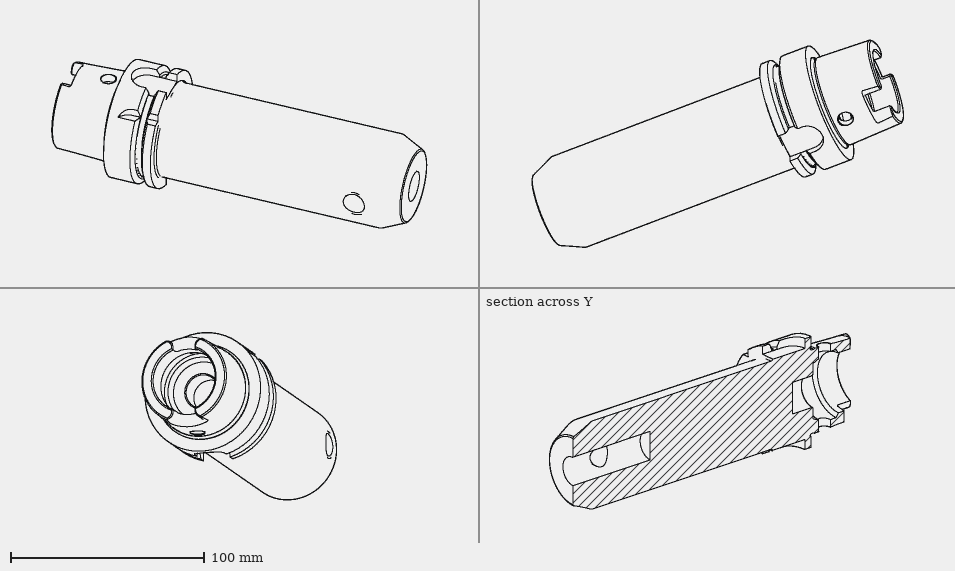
import cadquery as cq
import math

total_length = 192.0

shank_length = 32.0
shank_front_radius = 23.0
shank_back_radius = 24.2
shank_edge_chamfer = 0.8
neck_start = 29.5
neck_radius = 23.8
neck_slope_length = 1.0
neck_root_radius = 1.3
face_groove_depth = 0.5
face_groove_radius = neck_radius + neck_root_radius

flange_radius = 31.5
flange_width = 26.0
flange_end = shank_length + flange_width
grip_groove_center = shank_length + 18.0
grip_groove_floor_radius = 27.3
grip_groove_half_floor = 1.7
grip_groove_half_mouth = 3.5
grip_flank_angle = 60.0
grip_floor_fillet = 0.5
grip_groove_overshoot = 2.0

body_radius = 25.2
body_root_fillet = 1.0
nose_length = 12.7
nose_end_radius = 19.4
nose_shoulder_fillet = 2.0
nose_edge_chamfer = 0.5

mouth_radius = 16.9
mouth_length = 13.8
chamber_radius = 19.2
chamber_slope_length = 1.5
chamber_end = 26.9
seat_outer_radius = 17.3
seat_inner_radius = 15.5
seat_end = 30.7
coolant_radius = 8.8
coolant_depth = 13.5
coolant_chamfer = 0.5

drive_slot_half_width = 6.0
drive_slot_flare_radius = 3.8
drive_slot_flare_start = 17.0
drive_slot_inner = 11.5
drive_slot_outer = 28.8
drive_slot_flat_half_width = 15.4
drive_slot_floor_fillet = 1.0
drive_slot_edge_chamfer = 0.5
top_drive_slot_depth = 5.8
bottom_drive_slot_depth = 9.8

access_hole_diameter = 7.7
access_hole_x = 23.0
access_hole_chamfer = 0.4

cutter_diameter = 16.0
keyway_start = 36.3
keyway_floor = 26.0
notch_floor = 20.4
notch_wall = 20.0

tool_bore_diameter = 16.0
tool_bore_depth = 51.8
screw_hole_x = 168.0
screw_hole_diameter = 11.7
screw_chamfer_width = 1.3
screw_chamfer_depth = 0.4

selection_margin = 0.2


def cylinder_along_x(radius, start, length):
    return cq.Workplane("YZ", origin=(start, 0, 0)).circle(radius).extrude(length)


def revolve_about_x(points):
    return cq.Workplane("XY").polyline(points).close().revolve(360, (0, 0, 0), (1, 0, 0))


def box_around_axis(center_x, half_length, radius):
    """Selector for edges lying wholly inside a box centred on the X axis."""
    half_x = half_length + selection_margin
    reach = radius + selection_margin
    return cq.selectors.BoxSelector(
        (center_x - half_x, -reach, -reach),
        (center_x + half_x, reach, reach),
        boundingbox=True,
    )


def shank_blank():
    """Tapered plug whose neck runs out in a quarter round sunk into the flange face."""
    groove_floor = shank_length + face_groove_depth
    root_start = groove_floor - neck_root_radius
    return (
        cq.Workplane("XY")
        .moveTo(0, 0)
        .lineTo(0, shank_front_radius - shank_edge_chamfer)
        .lineTo(shank_edge_chamfer, shank_front_radius)
        .lineTo(neck_start, shank_back_radius)
        .lineTo(neck_start + neck_slope_length, neck_radius)
        .lineTo(root_start, neck_radius)
        .tangentArcPoint((groove_floor, face_groove_radius), relative=False)
        .lineTo(groove_floor, 0)
        .close()
        .revolve(360, (0, 0, 0), (1, 0, 0))
    )


def flange_blank():
    face_groove = cylinder_along_x(face_groove_radius, shank_length, face_groove_depth)
    flange = cylinder_along_x(flange_radius, shank_length, flange_width).cut(face_groove)
    return flange.cut(grip_groove())


def grip_groove():
    """Ring with straight lower walls and flanks that open outwards."""
    flank_run = grip_groove_half_mouth - grip_groove_half_floor
    wall_top = flange_radius - flank_run * math.tan(math.radians(grip_flank_angle))
    half_profile = [
        (grip_groove_half_floor, grip_groove_floor_radius),
        (grip_groove_half_floor, wall_top),
        (grip_groove_half_mouth, flange_radius),
        (grip_groove_half_mouth, flange_radius + grip_groove_overshoot),
    ]
    right = [(grip_groove_center + dx, r) for dx, r in half_profile]
    left = [(grip_groove_center - dx, r) for dx, r in reversed(half_profile)]
    ring = revolve_about_x(right + left)
    floor_edges = box_around_axis(grip_groove_center, grip_groove_half_floor, grip_groove_floor_radius)
    return ring.edges(floor_edges).edges("%CIRCLE").fillet(grip_floor_fillet)


def body_blank():
    nose_start = total_length - nose_length
    body = (
        cq.Workplane("XY")
        .moveTo(flange_end, 0)
        .lineTo(flange_end, body_radius + body_root_fillet)
        .radiusArc((flange_end + body_root_fillet, body_radius), -body_root_fillet)
        .lineTo(nose_start, body_radius)
        .lineTo(total_length, nose_end_radius)
        .lineTo(total_length, 0)
        .close()
        .revolve(360, (0, 0, 0), (1, 0, 0))
    )
    body = body.faces(">X").chamfer(nose_edge_chamfer)
    shoulder = box_around_axis(nose_start, 0, body_radius)
    return body.edges(shoulder).fillet(nose_shoulder_fillet)


def shank_interior():
    """Clamping chamber behind a narrower mouth, ending in a conical seat."""
    return revolve_about_x([
        (0, 0),
        (0, mouth_radius + shank_edge_chamfer),
        (shank_edge_chamfer, mouth_radius),
        (mouth_length, mouth_radius),
        (mouth_length + chamber_slope_length, chamber_radius),
        (chamber_end, chamber_radius),
        (chamber_end, seat_outer_radius),
        (seat_end, seat_inner_radius),
        (seat_end, 0),
    ])


def coolant_hole():
    hole = cylinder_along_x(coolant_radius, seat_end, coolant_depth)
    mouth = revolve_about_x([
        (seat_end, 0),
        (seat_end, coolant_radius + coolant_chamfer),
        (seat_end + coolant_chamfer, coolant_radius),
        (seat_end + coolant_chamfer, 0),
    ])
    return hole.union(mouth)


def access_hole_half():
    """Radial hole on the +Z side, chamfered where it leaves the taper."""
    taper_slope = (shank_back_radius - shank_front_radius) / (neck_start - shank_edge_chamfer)
    surface = shank_front_radius + taper_slope * (access_hole_x - shank_edge_chamfer)
    hole_radius = access_hole_diameter / 2
    hole = cq.Workplane("XY", origin=(access_hole_x, 0, 0)).circle(hole_radius).extrude(flange_radius)
    chamfer = (
        cq.Workplane("XY", origin=(access_hole_x, 0, surface))
        .circle(hole_radius + access_hole_chamfer)
        .extrude(-access_hole_chamfer, taper=45)
    )
    return hole.union(chamfer)


def draw_drive_slot(plane, grow=0.0):
    """Drive slot outline on the +Z side, its flared walls moved back by grow."""
    radius = drive_slot_flare_radius - grow
    half_width = drive_slot_half_width + grow
    flare_end_y = half_width + radius
    flare_end_z = drive_slot_flare_start + radius
    flare_mid_y = flare_end_y - radius * math.sqrt(0.5)
    flare_mid_z = drive_slot_flare_start + radius * math.sqrt(0.5)
    return (
        plane.moveTo(-half_width, drive_slot_inner)
        .lineTo(half_width, drive_slot_inner)
        .lineTo(half_width, drive_slot_flare_start)
        .threePointArc((flare_mid_y, flare_mid_z), (flare_end_y, flare_end_z))
        .lineTo(drive_slot_flat_half_width, flare_end_z)
        .lineTo(drive_slot_flat_half_width, drive_slot_outer)
        .lineTo(-drive_slot_flat_half_width, drive_slot_outer)
        .lineTo(-drive_slot_flat_half_width, flare_end_z)
        .lineTo(-flare_end_y, flare_end_z)
        .threePointArc((-flare_mid_y, flare_mid_z), (-half_width, drive_slot_flare_start))
        .close()
    )


def drive_slot(depth):
    """Drive slot with a rounded floor edge and a chamfered mouth."""
    slot = draw_drive_slot(cq.Workplane("YZ")).extrude(depth)
    slot = slot.faces(">X").edges().fillet(drive_slot_floor_fillet)
    mouth = draw_drive_slot(cq.Workplane("YZ"), grow=drive_slot_edge_chamfer)
    mouth = draw_drive_slot(mouth.workplane(offset=drive_slot_edge_chamfer)).loft(ruled=True)
    return slot.union(mouth)


def milled_slot(start, center_y, floor):
    """Round-ended slot cut from +Z down to floor, open at the back of the flange."""
    radius = cutter_diameter / 2
    end_center = start + radius
    height = flange_radius - floor
    plane = cq.Workplane("XY", origin=(0, center_y, floor))
    round_end = plane.center(end_center, 0).circle(radius).extrude(height)
    straight = (
        plane.center(end_center, 0)
        .rect(flange_end - end_center, cutter_diameter, centered=(False, True))
        .extrude(height)
    )
    return round_end.union(straight)


def add_screw_hole(body):
    """Radial hole from the -Y side into the tool bore, its outer rim chamfered evenly."""
    radius = screw_hole_diameter / 2
    hole = cq.Workplane("XZ", origin=(screw_hole_x, 0, 0)).circle(radius).extrude(flange_radius)
    body = body.cut(hole)
    reach = radius + selection_margin
    rim = cq.selectors.BoxSelector(
        (screw_hole_x - reach, -body_radius - selection_margin, -reach),
        (screw_hole_x + reach, radius - body_radius, reach),
        boundingbox=True,
    )
    return body.edges(rim).chamfer(screw_chamfer_width, screw_chamfer_depth)


shank = shank_blank().cut(shank_interior())
shank = shank.cut(drive_slot(top_drive_slot_depth))
shank = shank.cut(drive_slot(bottom_drive_slot_depth).rotate((0, 0, 0), (1, 0, 0), 180))
access_hole = access_hole_half()
access_hole = access_hole.union(access_hole.mirror("XY"))
shank = shank.cut(access_hole)

flange = flange_blank()
keyway = milled_slot(keyway_start, 0, keyway_floor)
flange = flange.cut(keyway)
flange = flange.cut(keyway.rotate((0, 0, 0), (1, 0, 0), 180))
flange = flange.cut(milled_slot(keyway_start, -notch_wall - cutter_diameter / 2, notch_floor))

tool_bore = cylinder_along_x(tool_bore_diameter / 2, total_length - tool_bore_depth, tool_bore_depth)
body = add_screw_hole(body_blank().cut(tool_bore))
result = shank.union(flange).union(body).cut(coolant_hole())